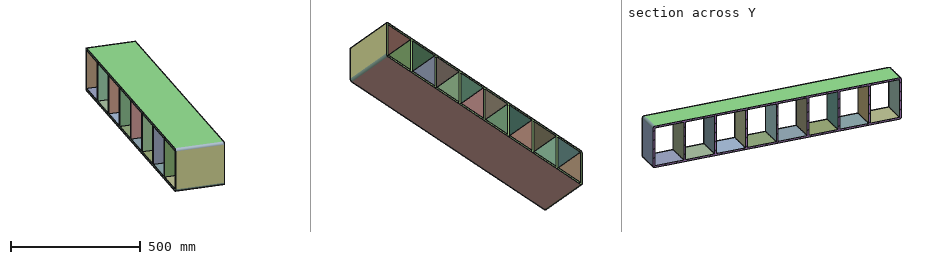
import cadquery as cq

length = 1054.0
depth = 200.0
height = 179.5
corner_radius = 10.0

cell_count = 8
wall = 10.0
cell_pitch = (length - wall) / cell_count
cell_width = cell_pitch - wall
cell_height = height - 2 * wall


def make_body():
    """Solid block whose four edges along Y are rounded."""
    return cq.Workplane("XY").box(length, depth, height).edges("|Y").fillet(corner_radius)


def make_cells():
    """Row of evenly spaced rectangular cells passing through along Y."""
    return (
        cq.Workplane("XZ")
        .rarray(cell_pitch, 1, cell_count, 1)
        .rect(cell_width, cell_height)
        .extrude(depth / 2, both=True)
    )


result = make_body().cut(make_cells())